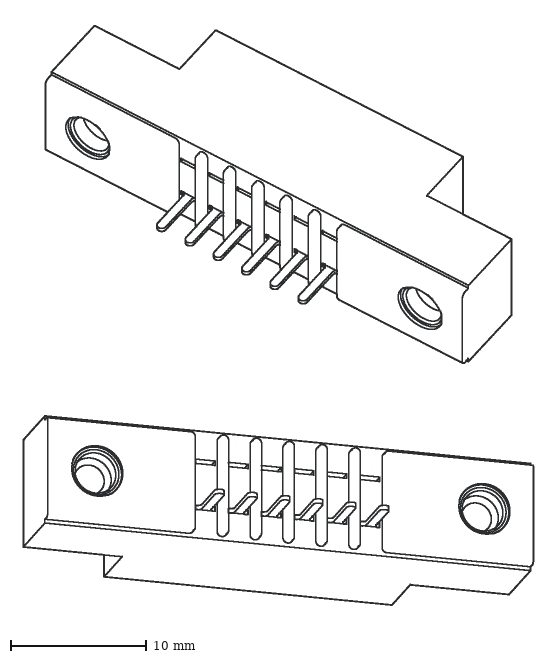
import cadquery as cq
import math


LENGTH = 37.47
HEIGHT = 8.4
TOTAL_DEPTH = 14.28
TAIL_REACH = 3.95
BLOCK_DEPTH = TOTAL_DEPTH - TAIL_REACH
NOSE_LENGTH = 22.22
NOSE_DEPTH = 4.72
EAR_DEPTH = BLOCK_DEPTH - NOSE_DEPTH

CONTACT_COUNT = 6
ROW_LENGTH = 12.7
PITCH = ROW_LENGTH / (CONTACT_COUNT - 1)
SLOT_WIDTH = 1.5
SLOT_HEIGHT = 0.35
ROW_OFFSET = 1.8

RAISED = 0.8
LEDGE = 0.3
RAISED_HEIGHT = HEIGHT - 2 * LEDGE
PAD_LENGTH = 11.45
RIB_WIDTH = 0.75
EDGE_RADIUS = 0.37

TAIL_WIDTH = 0.7
SHOULDER_RADIUS = (SLOT_WIDTH - TAIL_WIDTH) / 2
SHOULDER_DEPTH = 0.1

BUSHING_SPACING = 29.85
BUSHING_X = BUSHING_SPACING / 2
BUSHING_DIAMETER = 3.95
BUSHING_RADIUS = BUSHING_DIAMETER / 2
BUSHING_RECESS = 0.3
MOUTH_CHAMFER = 0.2
ENTRY_RADIUS = 1.57
ENTRY_DEPTH = 1.4
BORE_RADIUS = 1.15


def centred_places(count):
    """X places of a row at contact pitch, centred on the origin."""
    return [(i - (count - 1) / 2) * PITCH for i in range(count)]


def raised_block(x_min, x_max):
    """Square-edged block standing out of the front face between two X places."""
    return cq.Workplane("XY").box(
        x_max - x_min, RAISED, RAISED_HEIGHT, centered=(False, False, True)
    ).translate((x_min, -RAISED, 0))


def mounting_pads():
    """Two pads, flush with the housing ends and rounded on their other front edges and inner corners."""
    left = raised_block(-LENGTH / 2, PAD_LENGTH - LENGTH / 2)
    left = left.edges("|Y and >X").fillet(EDGE_RADIUS)
    left = left.faces("<Y").edges("not <X").fillet(EDGE_RADIUS)
    return left.union(left.mirror("YZ"))


def rib(x):
    """Divider rib between two contacts, with a round front and round ends."""
    square_rib = raised_block(x - RIB_WIDTH / 2, x + RIB_WIDTH / 2)
    return square_rib.edges("|Y").fillet(EDGE_RADIUS).faces("<Y").edges().fillet(EDGE_RADIUS)


def contact_slots():
    """Two rows of flat slots through the whole depth of the block."""
    places = [(x, z) for x in centred_places(CONTACT_COUNT) for z in (-ROW_OFFSET, ROW_OFFSET)]
    front = cq.Workplane("XZ").pushPoints(places)
    return front.rect(SLOT_WIDTH, SLOT_HEIGHT).extrude(-BLOCK_DEPTH)


def bushing_holes():
    """Plain holes through pads and ears that take the bushings."""
    front = cq.Workplane("XZ", origin=(0, -RAISED, 0)).pushPoints([(-BUSHING_X, 0), (BUSHING_X, 0)])
    return front.circle(BUSHING_RADIUS).extrude(-(RAISED + EAR_DEPTH))


def make_housing():
    ears = cq.Workplane("XY").box(LENGTH, EAR_DEPTH, HEIGHT, centered=(True, False, True))
    nose = cq.Workplane("XY").box(NOSE_LENGTH, BLOCK_DEPTH, HEIGHT, centered=(True, False, True))
    housing = ears.union(nose).union(mounting_pads())
    for x in centred_places(CONTACT_COUNT - 1):
        housing = housing.union(rib(x))
    return housing.cut(contact_slots()).cut(bushing_holes())


def make_contact(x):
    """Flat contact filling a lower slot, narrowed by round shoulders to a round-tipped tail."""
    half_slot = SLOT_WIDTH / 2
    half_tail = TAIL_WIDTH / 2
    neck_y = SHOULDER_DEPTH - SHOULDER_RADIUS
    tip_centre_y = half_tail - TAIL_REACH
    arc_inset = SHOULDER_RADIUS * (1 - math.sqrt(0.5))
    shoulder_x = half_tail + arc_inset
    shoulder_y = SHOULDER_DEPTH - arc_inset
    outline = (
        cq.Workplane("XY")
        .moveTo(-half_slot, BLOCK_DEPTH)
        .lineTo(-half_slot, SHOULDER_DEPTH)
        .threePointArc((-shoulder_x, shoulder_y), (-half_tail, neck_y))
        .lineTo(-half_tail, tip_centre_y)
        .threePointArc((0, -TAIL_REACH), (half_tail, tip_centre_y))
        .lineTo(half_tail, neck_y)
        .threePointArc((shoulder_x, shoulder_y), (half_slot, SHOULDER_DEPTH))
        .lineTo(half_slot, BLOCK_DEPTH)
        .close()
    )
    flat = outline.extrude(SLOT_HEIGHT / 2, both=True)
    return flat.translate((x, 0, -ROW_OFFSET))


def make_bushing(x):
    """Sleeve with a chamfered mouth and a wide entry that narrows at 45 degrees to the bore."""
    front_y = BUSHING_RECESS - RAISED
    entry_end_y = front_y + ENTRY_DEPTH
    section = [
        (BUSHING_RADIUS, front_y),
        (ENTRY_RADIUS + MOUTH_CHAMFER, front_y),
        (ENTRY_RADIUS, front_y + MOUTH_CHAMFER),
        (ENTRY_RADIUS, entry_end_y),
        (BORE_RADIUS, entry_end_y + ENTRY_RADIUS - BORE_RADIUS),
        (BORE_RADIUS, EAR_DEPTH),
        (BUSHING_RADIUS, EAR_DEPTH),
    ]
    sleeve = cq.Workplane("XY").polyline(section).close().revolve(360, (0, 0, 0), (0, 1, 0))
    return sleeve.translate((x, 0, 0))


housing = make_housing()
contacts = [make_contact(x) for x in centred_places(CONTACT_COUNT)]
bushings = [make_bushing(x) for x in (-BUSHING_X, BUSHING_X)]

result = cq.Compound.makeCompound([housing.val(), *[body.val() for body in contacts + bushings]])